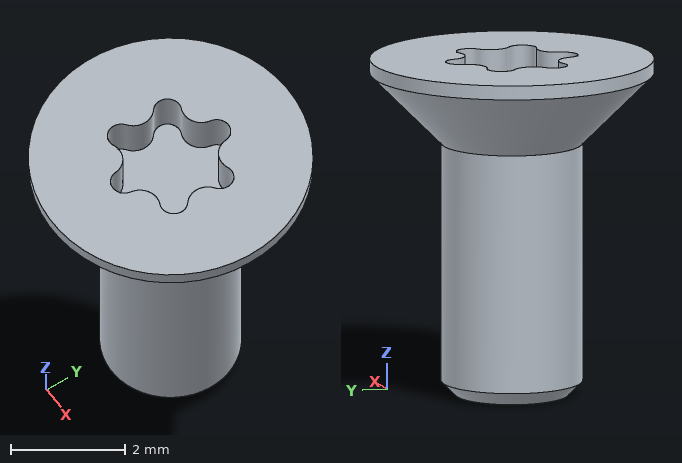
import cadquery as cq
import math

total_length = 6.0
shank_diameter = total_length / 2.4
head_diameter = 2 * shank_diameter
rim_height = shank_diameter / 10
tip_chamfer = shank_diameter / 10

lobe_count = 6
socket_outer_radius = 1.21
socket_inner_radius = 0.84
lobe_radius = 0.245
socket_depth = 0.79

shank_radius = shank_diameter / 2
head_radius = head_diameter / 2
cone_height = head_radius - shank_radius
cone_top = total_length - rim_height
cone_bottom = cone_top - cone_height


def polar(radius, angle):
    return (radius * math.cos(angle), radius * math.sin(angle))


def screw_body():
    """Solid of revolution: chamfered shank, conical head and cylindrical rim."""
    return (
        cq.Workplane("XZ")
        .polyline([
            (0, 0),
            (shank_radius - tip_chamfer, 0),
            (shank_radius, tip_chamfer),
            (shank_radius, cone_bottom),
            (head_radius, cone_top),
            (head_radius, total_length),
            (0, total_length),
        ])
        .close()
        .revolve(360, (0, 0, 0), (0, 1, 0))
    )


def socket_cutter():
    """Prism whose convex lobe arcs run tangent into the concave arcs between them."""
    half_pitch = math.pi / lobe_count
    lobe_center = socket_outer_radius - lobe_radius

    cos_half = math.cos(half_pitch)
    valley_radius = (
        lobe_center**2 + socket_inner_radius**2 - lobe_radius**2
        - 2 * lobe_center * socket_inner_radius * cos_half
    ) / (2 * (lobe_radius - socket_inner_radius + lobe_center * cos_half))
    valley_center = socket_inner_radius + valley_radius

    share = lobe_radius / (lobe_radius + valley_radius)
    tangent_x = lobe_center + share * (valley_center * cos_half - lobe_center)
    tangent_y = share * valley_center * math.sin(half_pitch)
    tangent_distance = math.hypot(tangent_x, tangent_y)
    tangent_angle = math.atan2(tangent_y, tangent_x)

    first_lobe = math.pi / 2
    outline = cq.Workplane("XY", origin=(0, 0, total_length)).moveTo(
        *polar(tangent_distance, first_lobe - tangent_angle)
    )
    for index in range(lobe_count):
        lobe = first_lobe + 2 * half_pitch * index
        next_lobe = lobe + 2 * half_pitch
        outline = outline.threePointArc(
            polar(socket_outer_radius, lobe),
            polar(tangent_distance, lobe + tangent_angle),
        )
        outline = outline.threePointArc(
            polar(socket_inner_radius, lobe + half_pitch),
            polar(tangent_distance, next_lobe - tangent_angle),
        )
    return outline.close().extrude(-socket_depth)


result = screw_body().cut(socket_cutter())